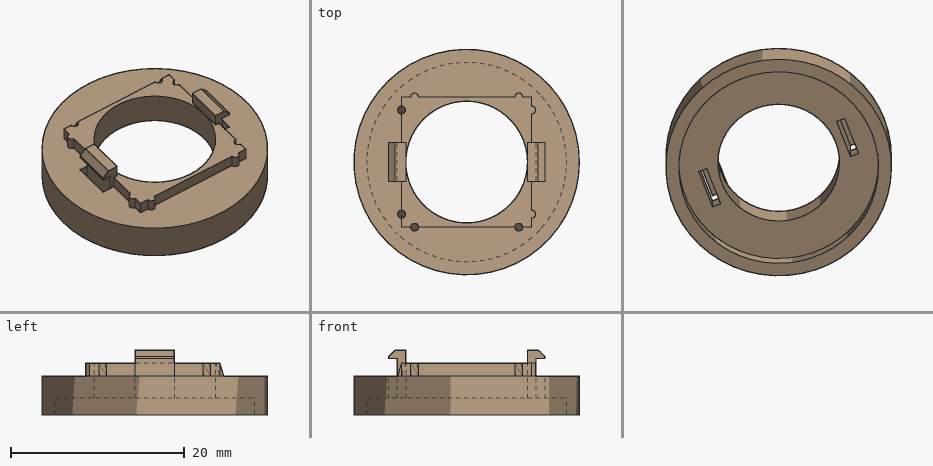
import cadquery as cq

disc_diameter = 26.0
disc_height = 4.5
bore_diameter = 14.0
recess_diameter = 23.0
recess_depth = 2.0

plate_side = 15.0
plate_height = 1.5
plate_top = disc_height + plate_height
plate_half = plate_side / 2

rib_diameter = 0.9
rib_radius = rib_diameter / 2
rib_offset = 6.0

hook_width = 4.5
hook_inner = bore_diameter / 2
stem_thickness = 1.0
hook_overhang = 1.0
hook_top = 7.5
hook_head_height = 1.0
hook_chamfer = 0.75
stem_outer = hook_inner + stem_thickness
hook_tip = stem_outer + hook_overhang


def make_base():
    """Disc with the square plate, the through bore and the wide recess below."""
    disc = cq.Workplane("XY").circle(disc_diameter / 2).extrude(disc_height)
    plate = (
        cq.Workplane("XY", origin=(0, 0, disc_height))
        .rect(plate_side, plate_side)
        .extrude(plate_height)
    )
    bore = cq.Workplane("XY").circle(bore_diameter / 2).extrude(plate_top)
    recess = cq.Workplane("XY").circle(recess_diameter / 2).extrude(recess_depth)
    return disc.union(plate).cut(bore).cut(recess)


def make_hook():
    """Snap hook on the +X side; its stem stands on the recess ceiling."""
    return (
        cq.Workplane("XZ", origin=(0, hook_width / 2, 0))
        .moveTo(hook_inner, recess_depth)
        .lineTo(stem_outer, recess_depth)
        .lineTo(stem_outer, hook_top - hook_head_height)
        .lineTo(hook_tip, hook_top - hook_head_height)
        .lineTo(hook_tip, hook_top - hook_chamfer)
        .lineTo(hook_tip - hook_chamfer, hook_top)
        .lineTo(hook_inner, hook_top)
        .close()
        .extrude(hook_width)
    )


def make_hook_window():
    """Opening through the disc floor directly under the +X hook overhang."""
    return (
        cq.Workplane("XY", origin=((stem_outer + hook_tip) / 2, 0, recess_depth))
        .rect(hook_overhang, hook_width)
        .extrude(disc_height - recess_depth)
    )


def make_straight_rib(x):
    """Round rib of constant section on the +Y plate wall."""
    return (
        cq.Workplane("XY", origin=(x, plate_half, disc_height))
        .circle(rib_radius)
        .extrude(plate_height)
    )


def make_half_cone(x, base_z, bulge, apex_x, apex_z):
    """Oblique cone on the -Y plate wall, from a half-disc to an apex on the wall."""
    half_disc = (
        cq.Workplane("XY", origin=(x, -plate_half, base_z))
        .moveTo(-rib_radius, 0)
        .threePointArc((0, bulge), (rib_radius, 0))
        .close()
        .wire()
        .val()
    )
    apex = cq.Vertex.makeVertex(apex_x, -plate_half, apex_z)
    return cq.Workplane(cq.occ_impl.shapes.loft(half_disc, apex, cap=True, ruled=True))


def make_tapered_rib(x):
    """Half-cone widening downward, outside the -Y plate wall."""
    return make_half_cone(x, disc_height, -rib_radius, x - rib_radius, plate_top)


def make_rib_notch(x):
    """Half-cone hollow widening upward, inside the -Y plate wall."""
    return make_half_cone(x, plate_top, rib_radius, x + rib_radius, disc_height)


def turn(shape, angle):
    """Rotate a shape about the disc axis."""
    return shape.rotate((0, 0, 0), (0, 0, 1), angle)


def make_part():
    """Base with both hooks and the ribs on all four plate walls."""
    part = make_base()
    for side_angle in (0, 180):
        part = part.cut(turn(make_hook_window(), side_angle))
        part = part.union(turn(make_hook(), side_angle))

    for wall_angle in (0, -90):
        for rib_x in (-rib_offset, rib_offset):
            part = part.union(turn(make_straight_rib(rib_x), wall_angle))
            part = part.cut(turn(make_rib_notch(rib_x), wall_angle))
            part = part.union(turn(make_tapered_rib(rib_x), wall_angle))
    return part.solids()


result = make_part()